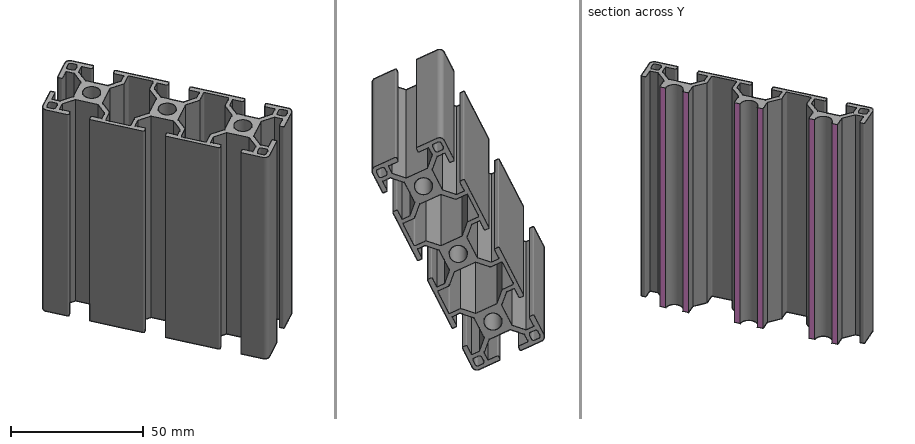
import cadquery as cq

CELL = 30.0
CELL_COUNT = 3
LENGTH = 100.0
OUTER_RADIUS = 2.0

SLOT_OPENING = 8.3
LIP_THICKNESS = 2.0
LIP_RADIUS = 0.4
SLOT_WIDTH = 16.8
CORE_WIDTH = 11.6
FLOOR_WIDTH = 8.9

BORE_DIAMETER = 6.8
SKIN_THICKNESS = 1.5
WEB_THICKNESS = 1.6
CHAMBER_RADIUS = 0.5
CORNER_HOLE_RADIUS = 0.9

half_cell = CELL / 2
width = CELL * CELL_COUNT
half_width = width / 2
half_opening = SLOT_OPENING / 2
half_slot = SLOT_WIDTH / 2
half_core = CORE_WIDTH / 2
half_floor = FLOOR_WIDTH / 2
lip_inside = half_cell - LIP_THICKNESS
flank_top = half_core + half_slot - half_floor
wall_far_side = half_slot + WEB_THICKNESS
skin_inside = half_cell - SKIN_THICKNESS
cell_centres = [(i * CELL - half_width + half_cell, 0) for i in range(CELL_COUNT)]


def make_slot():
    """T-slot of a cell centred on the origin, open towards +Y."""
    return (
        cq.Workplane("XY")
        .moveTo(0, half_core)
        .lineTo(half_floor, half_core)
        .lineTo(half_slot, flank_top)
        .lineTo(half_slot, lip_inside)
        .lineTo(half_opening + LIP_RADIUS, lip_inside)
        .radiusArc((half_opening, lip_inside + LIP_RADIUS), LIP_RADIUS)
        .lineTo(half_opening, half_cell - LIP_RADIUS)
        .radiusArc((half_opening + LIP_RADIUS, half_cell), LIP_RADIUS)
        .lineTo(0, half_cell)
        .mirrorY()
        .extrude(LENGTH)
    )


def make_chamber():
    """Hollow between two neighbouring cells, centred on the origin."""
    half_wide = half_cell - half_core
    half_narrow = half_cell - wall_far_side
    shoulder = half_floor + half_wide - half_narrow
    upper_side = [
        (half_wide, half_floor),
        (half_narrow, shoulder),
        (half_narrow, skin_inside),
        (-half_narrow, skin_inside),
        (-half_narrow, shoulder),
        (-half_wide, half_floor),
    ]
    lower_side = [(x, -y) for x, y in reversed(upper_side)]
    chamber = cq.Workplane("XY").polyline(upper_side + lower_side).close().extrude(LENGTH)
    return chamber.faces("<Y or >Y").edges("|Z").fillet(CHAMBER_RADIUS)


def make_corner_holes():
    """Rounded square hollows in the four outer corners."""
    side = skin_inside - wall_far_side
    offset_y = (skin_inside + wall_far_side) / 2
    offset_x = half_width - half_cell + offset_y
    return (
        cq.Workplane("XY")
        .rect(2 * offset_x, 2 * offset_y, forConstruction=True)
        .vertices()
        .rect(side, side)
        .extrude(LENGTH)
        .edges("|Z")
        .fillet(CORNER_HOLE_RADIUS)
    )


profile = cq.Workplane("XY").rect(width, CELL).extrude(LENGTH).edges("|Z").fillet(OUTER_RADIUS)

slot = make_slot()
for centre in cell_centres:
    for angle in (0, 180):
        profile = profile.cut(slot.rotate((0, 0, 0), (0, 0, 1), angle).translate(centre))

profile = profile.cut(slot.rotate((0, 0, 0), (0, 0, 1), -90).translate(cell_centres[-1]))
profile = profile.cut(slot.rotate((0, 0, 0), (0, 0, 1), 90).translate(cell_centres[0]))

chamber = make_chamber()
for x, y in cell_centres[:-1]:
    profile = profile.cut(chamber.translate((x + half_cell, y)))

profile = profile.cut(make_corner_holes())

bores = cq.Workplane("XY").pushPoints(cell_centres).circle(BORE_DIAMETER / 2).extrude(LENGTH)
result = profile.cut(bores)